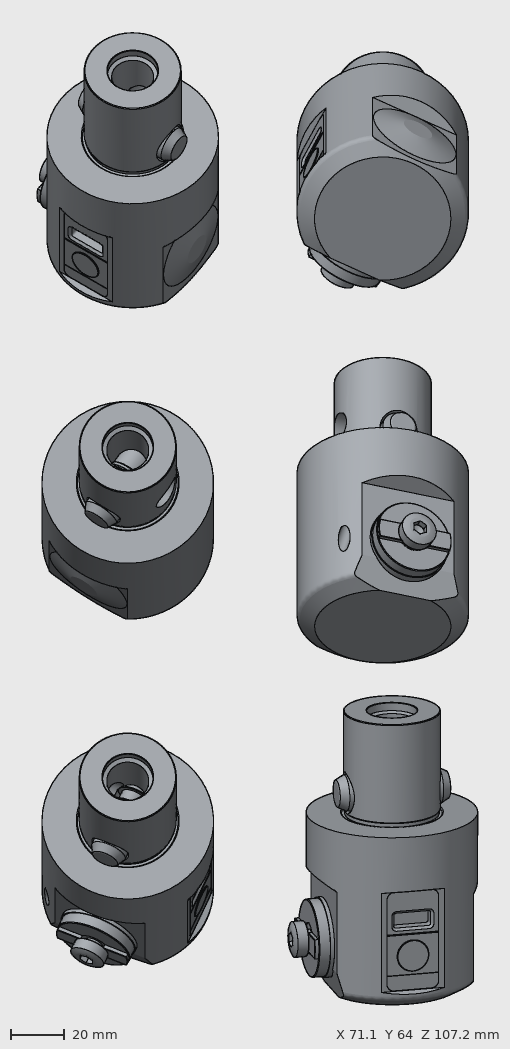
import cadquery as cq
import math


TOTAL_HEIGHT = 107.2
BODY_RADIUS = 32.0
BODY_TOP = 67.4
BOTTOM_RADIUS = 25.4
BOTTOM_CHAMFER_ANGLE = 30.0
BOTTOM_FILLET = 2.4
CUT_OUTER = 42.9

SHANK_RADIUS = 18.1
SHANK_CHAMFER = 0.3
UNDERCUT_TOP = BODY_TOP + 1.4
UNDERCUT_DEPTH = 0.4
UNDERCUT_OUTER_RADIUS = 19.2

BORE_MOUTH_RADIUS = 9.4
BORE_MOUTH_DEPTH = 3.2
BORE_MOUTH_CHAMFER = 0.2
BORE_RADIUS = 7.8
BORE_STEP_HEIGHT = 0.6
BORE_BOTTOM = 68.6
DRILL_POINT_ANGLE = 118.0

SIDE_HOLE_RADIUS = 6.4
SIDE_HOLE_HEIGHT = 82.5

PIN_HEIGHT = 76.3
PIN_RADIUS = 6.9
PIN_HALF_LENGTH = 21.5
PIN_CONE_START = 18.1
PIN_TIP_RADIUS = 5.1
PIN_FACE_RADIUS = 4.4
PIN_FACE_CROWN = 0.2
PIN_COLLAR_RADIUS = 7.2
PIN_COLLAR_START = -0.3
PIN_COLLAR_END = 0.8
PIN_EDGE_CHAMFER = 0.3
PIN_NECK_RADIUS = 5.0
PIN_NECK_START = 1.6
PIN_NECK_END = 6.2
COUNTERSINK_START = 14.8
COUNTERSINK_END = SHANK_RADIUS + 0.4
COUNTERSINK_RADIUS = 8.1

FLAT_SHOULDER_ANGLE = 30.0
SLIDE_FLAT_X = -26.3
SLIDE_FLAT_TOP = 43.7
SLIDE_FLAT_BOTTOM = 12.0
SLIDE_RELIEF_X = -23.3
CAP_FLAT_X = 26.8
CAP_FLAT_TOP = 38.4

SLIDE_HEIGHT = 20.7
SLIDE_RADIUS = 15.1
SLIDE_INNER_X = -10.7
SLIDE_STEP_X = -27.8
SLIDE_FACE_X = -32.2
SLIDE_FACE_RADIUS = 14.7
SLIDE_CHAMFER = 0.3
BAR_HEIGHT = 7.5
BAR_OUTER_X = -33.8
BAR_END_RADIUS = 14.5
BAR_CHAMFER = 0.2
SCREW_RECESS_RADIUS = 5.9
SCREW_RECESS_DEPTH = 0.5

SCREW_OUTER_X = BODY_RADIUS - 71.1
SCREW_HEAD_BACK_X = BAR_OUTER_X
SCREW_HEAD_RADIUS = 6.8
SCREW_FACE_RADIUS = 4.1
SCREW_CROWN = 1.0
SCREW_SHOULDER = 0.3
SCREW_SHOULDER_RADIUS = 5.5
SCREW_BACK_CHAMFER = 0.2
SCREW_NECK_RADIUS = 3.4
SCREW_INNER_X = -21.4
SOCKET_WIDTH = 5.0
SOCKET_DEPTH = 2.7
SOCKET_POINT_DEPTH = 1.1

CAP_RADIUS = 17.2
CAP_FACE_RADIUS = 5.9
CAP_CONE_ANGLE = 15.0
CAP_FACE_X = CAP_FLAT_X + (CAP_RADIUS - CAP_FACE_RADIUS) * math.tan(math.radians(CAP_CONE_ANGLE))
CAP_HEIGHT = 21.3

OBLIQUE_HOLE_RADIUS = 2.5
OBLIQUE_HOLE_HEIGHT = 20.8
OBLIQUE_HOLE_DIRECTION = 132.2
OBLIQUE_HOLE_TILT = -26.0
OBLIQUE_HOLE_OVERRUN = 32.2

RECESS_Y = -29.6
RECESS_TOP = 45.6
RECESS_BOTTOM = 6.9
RECESS_TOP_SLOPE = 0.25
RECESS_BOTTOM_SLOPE = 0.35
PANEL_WIDTH = 19.9
PANEL_TOP = RECESS_TOP
PANEL_BOTTOM = 7.1
PANEL_CORNER_RADIUS = 2.7
PANEL_PROUD = 0.1
PANEL_INNER_Y = -23.2
SEAMS = [(28.8, 0.4), (13.0, 0.1)]
SEAM_DEPTH = 0.1
WINDOW_WIDTH = 16.2
WINDOW_HEIGHT = 7.7
WINDOW_Z = 34.2
WINDOW_CORNER_RADIUS = 1.8
WINDOW_CHAMFER = 1.0
WINDOW_DEPTH = 4.8

BUTTON_RADIUS = 6.1
BUTTON_Z = 20.4
BUTTON_PROUD = 0.4
BUTTON_CHAMFER = 0.2
BUTTON_DEPTH = 2.1


def tangent(degrees):
    return math.tan(math.radians(degrees))


def turned_on_z(points):
    """Solid of revolution about Z from (radius, z) points."""
    return cq.Workplane("XZ").polyline(points).close().revolve(360, (0, 0), (0, 1))


def turned_on_x(points, height):
    """Solid of revolution about the X-parallel axis at the given height, from (x, radius) points."""
    profile = cq.Workplane("XZ", origin=(0, 0, height)).polyline(points).close()
    return profile.revolve(360, (0, 0), (1, 0))


def cylinder_on_x(radius, start, end, height):
    return cq.Workplane("YZ", origin=(start, 0, height)).circle(radius).extrude(end - start)


def panel_block(width, bottom, top, outer_y, inner_y):
    """Box centred on x = 0 that reaches from outer_y to inner_y."""
    size = (width, inner_y - outer_y, top - bottom)
    return cq.Workplane("XY").box(*size).translate((0, (inner_y + outer_y) / 2, (top + bottom) / 2))


def body_and_shank():
    chamfer_height = (BODY_RADIUS - BOTTOM_RADIUS) * tangent(BOTTOM_CHAMFER_ANGLE)
    body = turned_on_z(
        [
            (0, 0),
            (BOTTOM_RADIUS, 0),
            (BODY_RADIUS, chamfer_height),
            (BODY_RADIUS, BODY_TOP),
            (0, BODY_TOP),
        ]
    )
    rim = cq.selectors.NearestToPointSelector((BODY_RADIUS, 0, chamfer_height))
    body = body.edges("%CIRCLE").edges(rim).fillet(BOTTOM_FILLET)
    shank = cq.Workplane("XY").circle(SHANK_RADIUS).extrude(TOTAL_HEIGHT)
    return body.union(shank.faces(">Z").chamfer(SHANK_CHAMFER))


def foot_undercut():
    neck_radius = SHANK_RADIUS - UNDERCUT_DEPTH
    floor = BODY_TOP - UNDERCUT_DEPTH
    return turned_on_z(
        [
            (SHANK_RADIUS, UNDERCUT_TOP),
            (neck_radius, UNDERCUT_TOP - UNDERCUT_DEPTH),
            (neck_radius, floor),
            (UNDERCUT_OUTER_RADIUS - UNDERCUT_DEPTH, floor),
            (UNDERCUT_OUTER_RADIUS, BODY_TOP),
            (UNDERCUT_OUTER_RADIUS, UNDERCUT_TOP),
        ]
    )


def shank_bore():
    mouth_bottom = TOTAL_HEIGHT - BORE_MOUTH_DEPTH
    point_depth = BORE_RADIUS / tangent(DRILL_POINT_ANGLE / 2)
    return turned_on_z(
        [
            (0, TOTAL_HEIGHT),
            (BORE_MOUTH_RADIUS + BORE_MOUTH_CHAMFER, TOTAL_HEIGHT),
            (BORE_MOUTH_RADIUS, TOTAL_HEIGHT - BORE_MOUTH_CHAMFER),
            (BORE_MOUTH_RADIUS, mouth_bottom),
            (BORE_RADIUS, mouth_bottom - BORE_STEP_HEIGHT),
            (BORE_RADIUS, BORE_BOTTOM),
            (0, BORE_BOTTOM - point_depth),
        ]
    )


def side_hole():
    hole = cq.Workplane("XZ", origin=(0, 0, SIDE_HOLE_HEIGHT)).circle(SIDE_HOLE_RADIUS)
    return hole.extrude(-(SHANK_RADIUS + 1.1))


def pin_hole():
    hole = cylinder_on_x(PIN_RADIUS, -COUNTERSINK_END, COUNTERSINK_END, PIN_HEIGHT)
    for side in (-1, 1):
        countersink = [
            (side * COUNTERSINK_START, 0),
            (side * COUNTERSINK_START, PIN_RADIUS),
            (side * COUNTERSINK_END, COUNTERSINK_RADIUS),
            (side * COUNTERSINK_END, 0),
        ]
        hole = hole.union(turned_on_x(countersink, PIN_HEIGHT))
    return hole


def side_cut(points):
    """Cut across the whole body in Y from an outline of (x, z) points."""
    return cq.Workplane("XZ").polyline(points).close().extrude(CUT_OUTER, both=True)


def slide_flat():
    shoulder_rise = (CUT_OUTER + SLIDE_FLAT_X) * tangent(FLAT_SHOULDER_ANGLE)
    return side_cut(
        [
            (-CUT_OUTER, SLIDE_FLAT_TOP + shoulder_rise),
            (SLIDE_FLAT_X, SLIDE_FLAT_TOP),
            (SLIDE_FLAT_X, SLIDE_FLAT_BOTTOM),
            (SLIDE_RELIEF_X, 0),
            (-CUT_OUTER, 0),
        ]
    )


def cap_flat():
    shoulder_rise = (CUT_OUTER - CAP_FLAT_X) * tangent(FLAT_SHOULDER_ANGLE)
    return side_cut(
        [
            (CUT_OUTER, CAP_FLAT_TOP + shoulder_rise),
            (CAP_FLAT_X, CAP_FLAT_TOP),
            (CAP_FLAT_X, 0),
            (CUT_OUTER, 0),
        ]
    )


def panel_recess():
    reach = CUT_OUTER + RECESS_Y
    outline = [
        (RECESS_Y, RECESS_TOP),
        (RECESS_Y, RECESS_BOTTOM),
        (-CUT_OUTER, RECESS_BOTTOM - reach * RECESS_BOTTOM_SLOPE),
        (-CUT_OUTER, RECESS_TOP + reach * RECESS_TOP_SLOPE),
    ]
    return cq.Workplane("YZ").polyline(outline).close().extrude(BODY_RADIUS, both=True)


def oblique_hole():
    hole = cq.Workplane("XY").circle(OBLIQUE_HOLE_RADIUS).extrude(OBLIQUE_HOLE_OVERRUN, both=True)
    hole = hole.rotate((0, 0, 0), (0, 1, 0), OBLIQUE_HOLE_TILT)
    hole = hole.translate((BODY_RADIUS, 0, OBLIQUE_HOLE_HEIGHT))
    return hole.rotate((0, 0, 0), (0, 0, 1), OBLIQUE_HOLE_DIRECTION)


def make_housing():
    housing = body_and_shank()
    cuts = [
        foot_undercut(),
        shank_bore(),
        side_hole(),
        pin_hole(),
        slide_flat(),
        cap_flat(),
        panel_recess(),
        oblique_hole(),
        slide_blank(),
        panel_blank(),
    ]
    for cut in cuts:
        housing = housing.cut(cut)
    return housing


def make_cross_pin():
    face_edge = PIN_HALF_LENGTH - PIN_FACE_CROWN
    outline = [
        (-PIN_HALF_LENGTH, 0),
        (-PIN_HALF_LENGTH, PIN_FACE_RADIUS),
        (-face_edge, PIN_TIP_RADIUS),
        (-PIN_CONE_START, PIN_RADIUS),
        (PIN_COLLAR_START - PIN_EDGE_CHAMFER, PIN_RADIUS),
        (PIN_COLLAR_START, PIN_COLLAR_RADIUS),
        (PIN_COLLAR_END, PIN_COLLAR_RADIUS),
        (PIN_COLLAR_END, PIN_RADIUS),
        (PIN_NECK_START - PIN_EDGE_CHAMFER, PIN_RADIUS),
        (PIN_NECK_START, PIN_RADIUS - PIN_EDGE_CHAMFER),
        (PIN_NECK_START, PIN_NECK_RADIUS),
        (PIN_NECK_END, PIN_NECK_RADIUS),
        (PIN_NECK_END, PIN_RADIUS - PIN_EDGE_CHAMFER),
        (PIN_NECK_END + PIN_EDGE_CHAMFER, PIN_RADIUS),
        (PIN_CONE_START, PIN_RADIUS),
        (face_edge, PIN_TIP_RADIUS),
        (PIN_HALF_LENGTH, PIN_FACE_RADIUS),
        (PIN_HALF_LENGTH, 0),
    ]
    return turned_on_x(outline, PIN_HEIGHT)


def slide_blank():
    return turned_on_x(
        [
            (SLIDE_INNER_X, 0),
            (SLIDE_INNER_X, SLIDE_RADIUS),
            (SLIDE_STEP_X, SLIDE_RADIUS),
            (SLIDE_STEP_X, SLIDE_FACE_RADIUS),
            (SLIDE_FACE_X + SLIDE_CHAMFER, SLIDE_FACE_RADIUS),
            (SLIDE_FACE_X, SLIDE_FACE_RADIUS - SLIDE_CHAMFER),
            (SLIDE_FACE_X, 0),
        ],
        SLIDE_HEIGHT,
    )


def make_tool_slide():
    bar = cylinder_on_x(BAR_END_RADIUS, BAR_OUTER_X, SLIDE_FACE_X, SLIDE_HEIGHT)
    strip = cq.Workplane("XY").box(CUT_OUTER * 2, CUT_OUTER, BAR_HEIGHT)
    bar = bar.intersect(strip.translate((0, 0, SLIDE_HEIGHT)))
    bar = bar.faces("<X").chamfer(BAR_CHAMFER)
    recess_floor = SLIDE_FACE_X + SCREW_RECESS_DEPTH
    recess = cylinder_on_x(SCREW_RECESS_RADIUS, BAR_OUTER_X, recess_floor, SLIDE_HEIGHT)
    screw_hole = cylinder_on_x(SCREW_NECK_RADIUS, BAR_OUTER_X, SCREW_INNER_X, SLIDE_HEIGHT)
    return slide_blank().union(bar).cut(recess).cut(screw_hole)


def make_clamp_screw():
    crown_x = SCREW_OUTER_X + SCREW_CROWN
    screw = (
        cq.Workplane("XZ", origin=(0, 0, SLIDE_HEIGHT))
        .moveTo(SCREW_OUTER_X, 0)
        .lineTo(SCREW_OUTER_X, SCREW_FACE_RADIUS)
        .threePointArc((SCREW_OUTER_X + SCREW_SHOULDER, SCREW_SHOULDER_RADIUS), (crown_x, SCREW_HEAD_RADIUS))
        .lineTo(SCREW_HEAD_BACK_X - SCREW_BACK_CHAMFER, SCREW_HEAD_RADIUS)
        .lineTo(SCREW_HEAD_BACK_X, SCREW_HEAD_RADIUS - SCREW_BACK_CHAMFER)
        .lineTo(SCREW_HEAD_BACK_X, SCREW_NECK_RADIUS)
        .lineTo(SCREW_INNER_X, SCREW_NECK_RADIUS)
        .lineTo(SCREW_INNER_X, 0)
        .close()
        .revolve(360, (0, 0), (1, 0))
    )
    corner_radius = SOCKET_WIDTH / math.sqrt(3)
    socket_floor = SCREW_OUTER_X + SOCKET_DEPTH
    socket = (
        cq.Workplane("YZ", origin=(SCREW_OUTER_X, 0, SLIDE_HEIGHT))
        .transformed(rotate=(0, 0, 90))
        .polygon(6, 2 * corner_radius)
        .extrude(SOCKET_DEPTH)
    )
    point = turned_on_x(
        [(socket_floor, 0), (socket_floor, SOCKET_WIDTH / 2), (socket_floor + SOCKET_POINT_DEPTH, 0)],
        SLIDE_HEIGHT,
    )
    return screw.cut(socket).cut(point)


def make_end_cap():
    outline = [
        (CAP_FLAT_X, 0),
        (CAP_FLAT_X, CAP_RADIUS),
        (CAP_FACE_X, CAP_FACE_RADIUS),
        (CAP_FACE_X, 0),
    ]
    return turned_on_x(outline, CAP_HEIGHT)


def panel_blank():
    outer_y = RECESS_Y - PANEL_PROUD
    block = panel_block(PANEL_WIDTH, PANEL_BOTTOM, PANEL_TOP, outer_y, PANEL_INNER_Y)
    return block.edges("|Y").fillet(PANEL_CORNER_RADIUS)


def window_outline(inset):
    """Rounded rectangle on the panel face, inset from the rim of the window."""
    outer_y = RECESS_Y - PANEL_PROUD
    outline = cq.Sketch().rect(WINDOW_WIDTH - 2 * inset, WINDOW_HEIGHT - 2 * inset)
    outline = outline.vertices().fillet(WINDOW_CORNER_RADIUS - inset)
    return cq.Workplane("XZ", origin=(0, outer_y, WINDOW_Z)).placeSketch(outline)


def window_cut():
    bevel = window_outline(0).extrude(-WINDOW_CHAMFER, taper=45)
    return bevel.union(window_outline(WINDOW_CHAMFER).extrude(-WINDOW_DEPTH))


def make_panel():
    outer_y = RECESS_Y - PANEL_PROUD
    panel = panel_blank().cut(window_cut()).cut(make_button())
    for height, width in SEAMS:
        seam = panel_block(PANEL_WIDTH, height - width / 2, height + width / 2, outer_y, outer_y + SEAM_DEPTH)
        panel = panel.cut(seam)
    return panel


def make_button():
    outer_y = RECESS_Y - PANEL_PROUD - BUTTON_PROUD
    button = cq.Workplane("XZ", origin=(0, outer_y, BUTTON_Z)).circle(BUTTON_RADIUS)
    button = button.extrude(-(BUTTON_PROUD + BUTTON_DEPTH))
    return button.faces("<Y").chamfer(BUTTON_CHAMFER)


housing = make_housing()
cross_pin = make_cross_pin()
tool_slide = make_tool_slide()
clamp_screw = make_clamp_screw()
end_cap = make_end_cap()
panel = make_panel()
button = make_button()

result = cq.Compound.makeCompound(
    [
        housing.val(),
        cross_pin.val(),
        tool_slide.val(),
        clamp_screw.val(),
        end_cap.val(),
        panel.val(),
        button.val(),
    ]
)